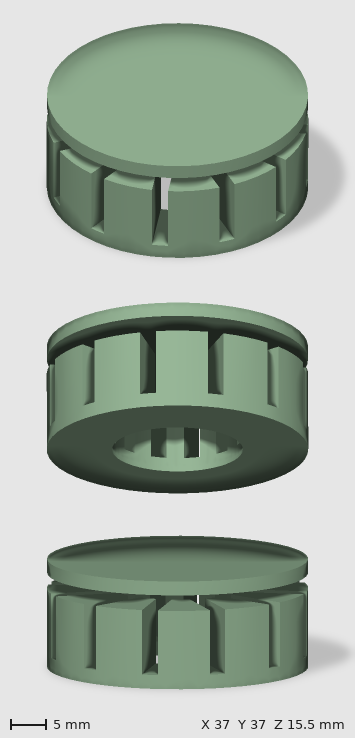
import cadquery as cq

base_diameter = 37.0
bore_diameter = 18.5
base_height = 11.25
rim_height = 2.0
slot_width = 2.3
slot_count = 12
lid_diameter = 36.93
lid_thickness = 2.0
lid_gap = 2.22

base_radius = base_diameter / 2
slot_depth = base_height - rim_height
lid_bottom = base_height + lid_gap


def make_slot(angle):
    """Radial slot from the axis out through the rim, open at the top."""
    return (
        cq.Workplane("XY")
        .workplane(offset=rim_height)
        .rect(base_diameter, slot_width)
        .extrude(slot_depth)
        .translate((base_radius, 0, 0))
        .rotate((0, 0, 0), (0, 0, 1), angle)
    )


def make_base():
    """Ring with a through bore, whose upper part is slotted into teeth."""
    base = (
        cq.Workplane("XY")
        .circle(base_radius)
        .circle(bore_diameter / 2)
        .extrude(base_height)
    )
    for index in range(slot_count):
        base = base.cut(make_slot(index * 360 / slot_count))
    return base


def make_lid():
    """Plain disc held above the base."""
    return (
        cq.Workplane("XY")
        .workplane(offset=lid_bottom)
        .circle(lid_diameter / 2)
        .extrude(lid_thickness)
    )


base = make_base()
lid = make_lid()
result = cq.Compound.makeCompound([base.val(), lid.val()])